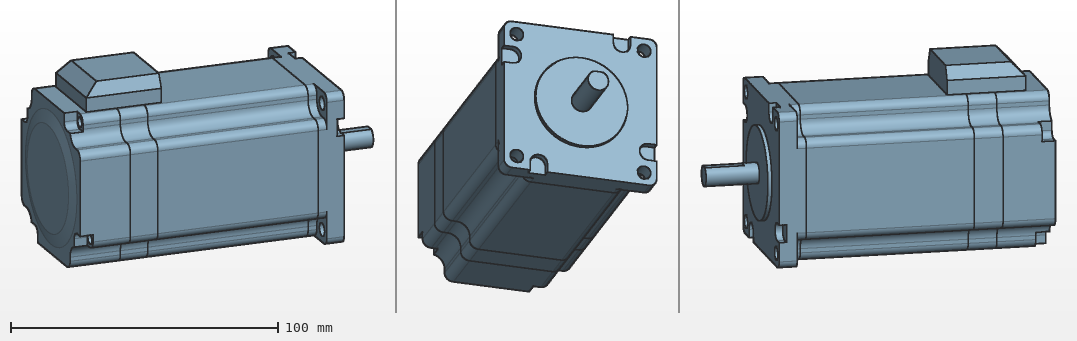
import cadquery as cq
import math


body_width = 60.0
half_width = body_width / 2
hole_offset = 25.0
hole_diameter = 5.2
relief_radius = 5.3
edge_round = 3.4
relief_face = hole_offset - relief_radius
screw_along = relief_face - edge_round
screw_out = half_width - edge_round

flange_plate_thickness = 7.0
flange_end = 10.5
stator_end = 75.0
spacer_end = 86.0
cover_end = 106.2

flange_corner_radius = 3.0
front_notch_depth = 2.8
pilot_diameter = 36.0
pilot_height = 1.5

shaft_diameter = 8.0
shaft_length = 22.0
flat_length = 15.0
flat_depth = 0.45

screw_hole_diameter = 3.9
rear_notch_radius = 2.7
rear_notch_depth = 5.2
dome_base_radius = 26.3
dome_top_radius = 21.1
dome_height = 1.3

box_width = 31.0
box_length = 30.2
box_height = 10.7
box_front = 67.9
box_bevel_height = 5.2
box_side_inset = 2.6
box_rear_inset = 5.0

QUARTER_TURNS = range(4)


def section_plane(distance_back):
    """Sketch plane across the axis; its local axes are X and Z, its normal points to -Y."""
    return cq.Workplane("XZ", origin=(0, -distance_back, 0))


def turned(point, quarter_turns):
    """Turn an (x, z) point clockwise about the motor axis."""
    x, z = point
    for _ in range(quarter_turns):
        x, z = z, -x
    return x, z


def relieved_section(start, end):
    """Square bar with a rounded relief in each corner, between two stations."""
    round_mid = edge_round * math.sqrt(0.5)
    relief_mid = hole_offset - relief_radius * math.sqrt(0.5)
    sketch = section_plane(start).moveTo(screw_along, half_width)
    for turn in QUARTER_TURNS:
        if turn > 0:
            sketch = sketch.lineTo(*turned((screw_along, half_width), turn))
        sketch = (
            sketch
            .threePointArc(turned((screw_along + round_mid, screw_out + round_mid), turn),
                           turned((relief_face, screw_out), turn))
            .lineTo(*turned((relief_face, hole_offset), turn))
            .threePointArc(turned((relief_mid, relief_mid), turn),
                           turned((hole_offset, relief_face), turn))
            .lineTo(*turned((screw_out, relief_face), turn))
            .threePointArc(turned((screw_out + round_mid, screw_along + round_mid), turn),
                           turned((half_width, screw_along), turn))
        )
    return sketch.close().extrude(end - start)


def front_notch():
    """Round-bottomed notch in the mounting face, open to the upper side."""
    floor = section_plane(0).center(-screw_along, screw_out).circle(edge_round).extrude(front_notch_depth)
    mouth = (
        section_plane(0)
        .center(-screw_along, screw_out + edge_round / 2)
        .rect(2 * edge_round, edge_round)
        .extrude(front_notch_depth)
    )
    return floor.union(mouth)


def rear_notch():
    """Notch in the rear face, open to the upper side and the relief, rounded about the screw."""
    left = screw_along - rear_notch_radius
    bottom = screw_out - rear_notch_radius
    return (
        section_plane(cover_end - rear_notch_depth)
        .moveTo(left, half_width)
        .lineTo(left, screw_out)
        .radiusArc((screw_along, bottom), -rear_notch_radius)
        .lineTo(hole_offset, bottom)
        .lineTo(hole_offset, half_width)
        .close()
        .extrude(rear_notch_depth)
    )


def cut_on_each_side(body, cutter):
    """Cut the same feature into all four sides."""
    for turn in QUARTER_TURNS:
        body = body.cut(cutter.rotate((0, 0, 0), (0, 1, 0), 90 * turn))
    return body


def make_shaft():
    """Shaft from the mounting face to the tip, with a flat on its upper side."""
    shaft = section_plane(-shaft_length).circle(shaft_diameter / 2).extrude(shaft_length)
    flat = (
        section_plane(-shaft_length)
        .center(0, shaft_diameter / 2)
        .rect(shaft_diameter, 2 * flat_depth)
        .extrude(flat_length)
    )
    return shaft.cut(flat)


def make_front_flange():
    """Mounting plate with pilot, shaft and a relieved rear collar, in one piece."""
    mounting_holes = [turned((hole_offset, hole_offset), turn) for turn in QUARTER_TURNS]
    plate = (
        section_plane(0)
        .rect(body_width, body_width)
        .extrude(flange_plate_thickness)
        .edges("|Y")
        .fillet(flange_corner_radius)
    )
    holes = (
        section_plane(0)
        .pushPoints(mounting_holes)
        .circle(hole_diameter / 2)
        .extrude(flange_plate_thickness)
    )
    plate = cut_on_each_side(plate.cut(holes), front_notch())
    pilot = section_plane(-pilot_height).circle(pilot_diameter / 2).extrude(pilot_height)
    collar = relieved_section(flange_plate_thickness, flange_end)
    return plate.union(collar).union(pilot).union(make_shaft())


def make_rear_cover():
    """End cover with a conical dome and four notched screw holes."""
    screw_points = [turned((screw_along, screw_out), turn) for turn in QUARTER_TURNS]
    cover = relieved_section(spacer_end, cover_end)
    cover = cut_on_each_side(cover, rear_notch())
    screw_holes = (
        section_plane(spacer_end)
        .pushPoints(screw_points)
        .circle(screw_hole_diameter / 2)
        .extrude(cover_end - spacer_end)
    )
    dome = (
        section_plane(cover_end)
        .circle(dome_base_radius)
        .workplane(offset=dome_height)
        .circle(dome_top_radius)
        .loft()
    )
    return cover.cut(screw_holes).union(dome)


def make_connector_box():
    """Box on the upper side, bevelled along both sides and at the rear."""
    top = half_width + box_height
    shoulder = top - box_bevel_height
    half_box = box_width / 2
    half_top = half_box - box_side_inset
    across = (
        section_plane(box_front)
        .polyline([
            (-half_box, half_width),
            (-half_box, shoulder),
            (-half_top, top),
            (half_top, top),
            (half_box, shoulder),
            (half_box, half_width),
        ])
        .close()
        .extrude(box_length)
    )
    front_y = -box_front
    rear_y = front_y - box_length
    along = (
        cq.Workplane("YZ")
        .polyline([
            (front_y, half_width),
            (front_y, top),
            (rear_y + box_rear_inset, top),
            (rear_y, shoulder),
            (rear_y, half_width),
        ])
        .close()
        .extrude(half_box, both=True)
    )
    return across.intersect(along)


front_flange = make_front_flange()
stator = relieved_section(flange_end, stator_end)
spacer = relieved_section(stator_end, spacer_end)
rear_cover = make_rear_cover()
connector_box = make_connector_box()

result = cq.Compound.makeCompound([
    front_flange.val(),
    stator.val(),
    spacer.val(),
    rear_cover.val(),
    connector_box.val(),
])